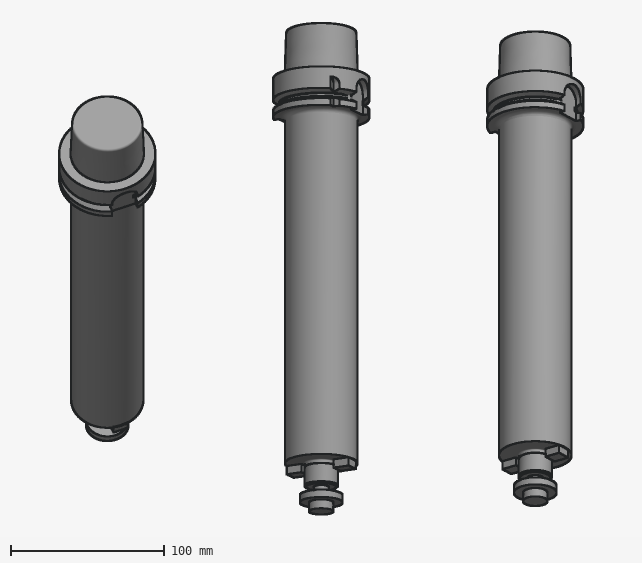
import cadquery as cq
import math


taper_length = 32.0
taper_base_diameter = 48.0
taper_tip_diameter = 46.0
tip_fillet = 1.5

flange_diameter = 63.0
flange_height = 26.0
groove_center_depth = 18.0
groove_width = 7.0
groove_floor_diameter = 55.0
groove_side_angle = 30.0
groove_fillet = 0.5

flange_fillet = 3.0
body_diameter = 47.5
body_end_depth = 260.0

minus_x_slot_width = 16.0
plus_x_slot_width = 18.0
slot_top_depth = 4.5
slot_floor_radius = 26.5

notch_floor_offset = 20.0
notch_wall_offset = 20.0
notch_arc_radius = 4.5
notch_top_depth = 6.6

key_width = 10.0
key_height = 5.6
key_inner_radius = 12.0
key_outer_radius = 23.0

spigot_diameter = 22.0
spigot_length = 16.0
undercut_diameter = 21.4
undercut_length = 2.5
undercut_fillet = 0.6
spigot_chamfer = 1.0

screw_neck_diameter = 10.0
screw_head_diameter = 28.0
screw_head_thickness = 5.0
screw_tip_diameter = 16.0
screw_tip_length = 6.0
overall_length = 324.5

groove_depth = (flange_diameter - groove_floor_diameter) / 2
groove_side_height = groove_depth * math.tan(math.radians(groove_side_angle))
groove_top_z = -groove_center_depth + groove_width / 2
groove_floor_top_z = groove_top_z - groove_side_height
groove_bottom_z = -groove_center_depth - groove_width / 2
groove_floor_bottom_z = groove_bottom_z + groove_side_height
flange_bottom_z = -flange_height
fillet_bottom_z = flange_bottom_z - flange_fillet
body_bottom_z = -body_end_depth
spigot_bottom_z = body_bottom_z - spigot_length
bottom_z = taper_length - overall_length
head_bottom_z = bottom_z + screw_tip_length
head_top_z = head_bottom_z + screw_head_thickness


def stack_profile():
    """Half outline (radius, z) of all turned sections, from tip to screw end."""
    flange_radius = flange_diameter / 2
    groove_floor_radius = groove_floor_diameter / 2
    undercut_z = body_bottom_z - undercut_length
    undercut_step = (spigot_diameter - undercut_diameter) / 2
    return [
        (0, taper_length),
        (taper_tip_diameter / 2, taper_length),
        (taper_base_diameter / 2, 0),
        (flange_radius, 0),
        (flange_radius, groove_top_z),
        (groove_floor_radius, groove_floor_top_z),
        (groove_floor_radius, groove_floor_bottom_z),
        (flange_radius, groove_bottom_z),
        (flange_radius, flange_bottom_z),
        (body_diameter / 2, flange_bottom_z),
        (body_diameter / 2, body_bottom_z),
        (undercut_diameter / 2, body_bottom_z),
        (undercut_diameter / 2, undercut_z),
        (spigot_diameter / 2, undercut_z - undercut_step),
        (spigot_diameter / 2, spigot_bottom_z + spigot_chamfer),
        (spigot_diameter / 2 - spigot_chamfer, spigot_bottom_z),
        (screw_neck_diameter / 2, spigot_bottom_z),
        (screw_neck_diameter / 2, head_top_z),
        (screw_head_diameter / 2, head_top_z),
        (screw_head_diameter / 2, head_bottom_z),
        (screw_tip_diameter / 2, head_bottom_z),
        (screw_tip_diameter / 2, bottom_z),
        (0, bottom_z),
    ]


def fillet_ring(body, diameter, z, fillet_radius):
    """Round the circular edge of the given diameter at height z."""
    margin = 0.1
    reach = diameter / 2 + margin
    ring = cq.selectors.BoxSelector(
        (-reach, -reach, z - margin), (reach, reach, z + margin), boundingbox=True
    )
    return body.edges(ring).fillet(fillet_radius)


def make_turned_body():
    profile = cq.Workplane("XZ").polyline(stack_profile()).close()
    body = profile.revolve(360, (0, 0, 0), (0, 1, 0))
    body = fillet_ring(body, taper_tip_diameter, taper_length, tip_fillet)
    body = fillet_ring(body, groove_floor_diameter, groove_floor_top_z, groove_fillet)
    body = fillet_ring(body, groove_floor_diameter, groove_floor_bottom_z, groove_fillet)
    body = fillet_ring(body, body_diameter, flange_bottom_z, flange_fillet)
    return fillet_ring(body, undercut_diameter, body_bottom_z, undercut_fillet)


def make_round_topped_cutter(width, top_depth, floor_offset, bottom_z):
    """Cutter on the -X side: flat floor at x = -floor_offset, half-round upper end."""
    arc_radius = width / 2
    arc_center_z = -top_depth - arc_radius
    return (
        cq.Workplane("YZ", origin=(-floor_offset, 0, 0))
        .moveTo(-arc_radius, bottom_z)
        .lineTo(-arc_radius, arc_center_z)
        .threePointArc((0, -top_depth), (arc_radius, arc_center_z))
        .lineTo(arc_radius, bottom_z)
        .close()
        .extrude(-flange_diameter / 2)
    )


def make_key_slot(slot_width):
    return make_round_topped_cutter(slot_width, slot_top_depth, slot_floor_radius, fillet_bottom_z)


def make_orientation_notch():
    """Narrow cutter that only clips the round flange, leaving a floor and one wall."""
    cutter = make_round_topped_cutter(
        2 * notch_arc_radius, notch_top_depth, notch_floor_offset, flange_bottom_z
    )
    return cutter.translate((0, notch_wall_offset + notch_arc_radius, 0))


def make_driving_key():
    key_length = key_outer_radius - key_inner_radius
    key_start = cq.Workplane("XY", origin=(key_inner_radius, 0, body_bottom_z))
    return key_start.box(key_length, key_width, 2 * key_height, centered=(False, True, True))


minus_x_slot = make_key_slot(minus_x_slot_width)
plus_x_slot = make_key_slot(plus_x_slot_width).rotate((0, 0, 0), (0, 0, 1), 180)

result = make_turned_body()
for cutter in (plus_x_slot, minus_x_slot, make_orientation_notch()):
    result = result.cut(cutter)
for side_angle in (0, 180):
    result = result.union(make_driving_key().rotate((0, 0, 0), (0, 0, 1), side_angle))